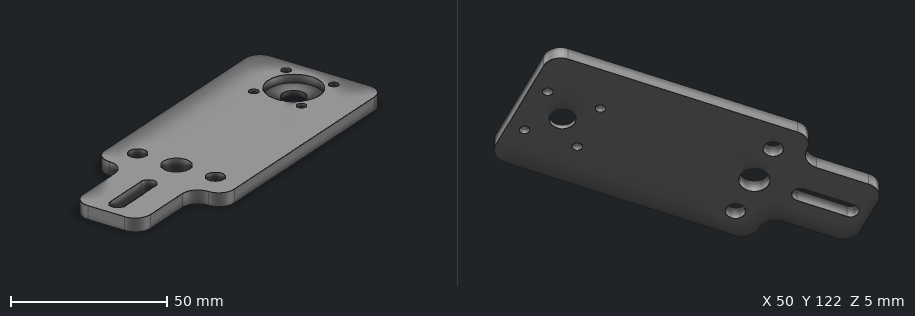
import cadquery as cq
import math

length = 122.0
width = 50.0
thickness = 5.0
corner_radius = 6.0
tab_length = 30.0

seat_from_end = 15.0
seat_diameter = 19.6
seat_depth = 3.0
bore_diameter = 8.5
screw_spacing = 18.4
screw_diameter = 3.3

row_from_shoulder = 10.0
center_hole_diameter = 10.0
side_hole_diameter = 6.5
side_hole_offset = 15.0

slot_width = 5.5
slot_length = 23.0
slot_from_tab_end = 3.7

top_y = length / 2
bottom_y = -top_y
shoulder_y = bottom_y + tab_length
seat_y = top_y - seat_from_end
row_y = shoulder_y + row_from_shoulder
slot_y = bottom_y + slot_from_tab_end + slot_length / 2


def make_plate():
    """Half outline on +X, mirrored; the shoulder is two tangent quarter arcs."""
    r = corner_radius
    bulge = r * math.sqrt(0.5)
    half_width = width / 2
    shoulder_x = half_width - r
    half_tab = shoulder_x - r
    half_outline = (
        cq.Workplane("XY")
        .moveTo(0, top_y)
        .lineTo(half_width - r, top_y)
        .threePointArc((half_width - r + bulge, top_y - r + bulge), (half_width, top_y - r))
        .lineTo(half_width, shoulder_y + r)
        .threePointArc(
            (shoulder_x + bulge, shoulder_y + r - bulge),
            (shoulder_x, shoulder_y),
        )
        .threePointArc(
            (shoulder_x - bulge, shoulder_y - r + bulge),
            (half_tab, shoulder_y - r),
        )
        .lineTo(half_tab, bottom_y + r)
        .threePointArc(
            (half_tab - r + bulge, bottom_y + r - bulge),
            (half_tab - r, bottom_y),
        )
        .lineTo(0, bottom_y)
    )
    return half_outline.mirrorY().extrude(thickness)


def cut_bearing_seat(plate):
    face = plate.faces(">Z").workplane(origin=(0, seat_y, thickness))
    plate = face.cboreHole(bore_diameter, seat_diameter, seat_depth)
    face = plate.faces(">Z").workplane(origin=(0, seat_y, thickness))
    return face.rect(screw_spacing, screw_spacing, forConstruction=True).vertices().hole(screw_diameter)


def cut_hole_row(plate):
    face = plate.faces(">Z").workplane(origin=(0, row_y, thickness))
    plate = face.hole(center_hole_diameter)
    face = plate.faces(">Z").workplane(origin=(0, row_y, thickness))
    return face.pushPoints([(-side_hole_offset, 0), (side_hole_offset, 0)]).hole(side_hole_diameter)


def cut_slot(plate):
    face = plate.faces(">Z").workplane(origin=(0, slot_y, thickness))
    return face.slot2D(slot_length, slot_width, 90).cutThruAll()


result = cut_slot(cut_hole_row(cut_bearing_seat(make_plate())))